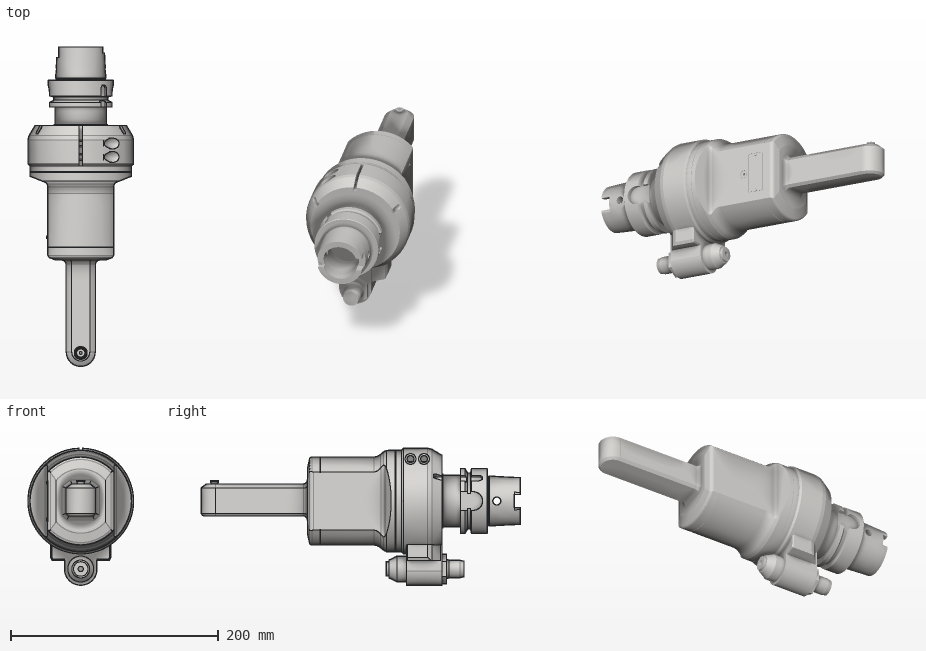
import cadquery as cq
import math


overall_length = 307.89

shank_length = 32.0
taper_radius_at_end = 22.7
taper_radius_at_gauge = 24.3
relief_radius = 23.6
relief_width = 1.0
taper_end = 1.9
shank_bore_radius = 17.0
shank_bore_bottom = -6.0
flange_radius = 31.5
flange_bottom = -26.0
flange_chamfer = 0.5
groove_radius = 27.2
groove_top = -15.2
groove_floor_top = -16.2
groove_floor_bottom = -19.0
groove_bottom = -21.6
neck_radius = 25.0
neck_end = -70.0
collar_radius = 26.0
collar_top = -42.5
end_slot_width = 12.5
end_slot_depths = {-1: 10.0, 1: 5.8}
end_flat_distance = 21.3
cross_hole_diameter = 7.5
cross_hole_y = 9.2
key_slot_width = 18.0
key_slot_start = -4.5
key_slot_floor = 26.2
index_notch_width = 7.5
index_notch_floor = 29.2
index_notch_start = -4.6
index_notch_angle = 45.0

ring_top = -43.5
ring_bottom = -82.6
ring_radius = 51.0
ring_top_radius = 44.0
ring_cone_radius = 50.0
ring_cone_end = -53.5
ring_cylinder_start = -57.5
ring_bottom_chamfer = 1.9
spigot_radius = 38.0
clamp_slot_width = 3.0
clamp_screw_z = 40.5
clamp_screw_positions = (-61.0, -74.0)
clamp_head_diameter = 10.4
clamp_head_seat_x = 22.0
clamp_thread_diameter = 6.5
clamp_thread_end_x = -16.0
pocket_width = 5.0
pocket_length = 8.5
pocket_floor_radius = 42.0
pocket_angles = (30.0, 150.0)

bracket_half_width = 29.0
bracket_foot_z = -57.2
bracket_end = -78.0
bracket_end_chamfer = 1.2
bracket_foot_chamfer_x = 1.4
bracket_foot_chamfer_z = 2.9
lobe_half_width = 15.6
lobe_radius = 15.75

pin_z = -65.5
pin_shaft_radius = 8.5
pin_nose_radius = 7.6
pin_nose_top = -22.3
pin_nose_shoulder = -26.5
pin_flare_start = -36.8
pin_flare_radius = 9.5
pin_hex_flats = 25.0
pin_hex_top = -39.3
pin_head_radius = 12.5
pin_cone_start = -87.0
pin_cone_end = -94.8
pin_cone_end_radius = 8.6
pin_tip_radius = 7.0
pin_tip_end = -97.4
pin_hole_diameter = 5.0
pin_hole_depth = 4.0

flange_cyl_radius = 49.0
flange_cyl_end = -97.0
shoulder_break_radius = 47.5
shoulder_break_y = -100.0
shoulder_end_radius = 45.0
shoulder_end_y = -103.0
barrel_radius = 42.5
barrel_start = -109.4
barrel_round_start = -168.8
face_outer_radius = 40.0
face_outer_y = -171.5
face_inner_radius = 31.0
face_y = -173.5
side_flat_x = 32.0
side_slope_start_y = -92.6
side_slope_end_y = -99.4
side_slope_fillet = 4.2
side_round_start = -167.3
side_face_outer_x = 29.2
side_face_inner_x = 23.7
seam_positions = (-88.5, -161.0)
seam_width = 0.6
seam_depth = 0.4

plate_center_y = -151.2
plate_length_y = 17.0
plate_height_z = 39.0
plate_corner_radius = 1.5
plate_groove_width = 0.8
plate_groove_depth = 0.4
rivet_diameter = 2.5
rivet_offset_z = 17.8
rivet_height = 0.8
plug_y = -138.0
plug_diameter = 8.5
plug_core_diameter = 6.0
plug_groove_depth = 0.5
plug_socket_diameter = 2.5
plug_socket_depth = 3.0

blade_half_width = 14.3
blade_tip_radius = 14.0
blade_tip_center_y = shank_length - overall_length + blade_tip_radius
blade_start = -160.0
blade_top_z = 16.6
blade_bottom_z = -14.5
blade_top_chamfer_x = 5.6
blade_top_chamfer_z = 4.2
blade_bottom_chamfer = 2.6
blade_root_fillet = 3.8
root_zone_half_width = 18.0
root_zone_half_depth = 0.1

spindle_y = -262.9
spindle_diameter = 12.5
spindle_depth = 20.0
face_groove_outer = 10.4
face_groove_inner = 8.5
face_groove_depth = 0.5
cutter_stem_diameter = 6.0
cutter_head_diameter = 8.0
cutter_cone_z = 18.6
cutter_top_z = 19.6
cutter_hole_diameter = 2.6
cutter_hole_depth = 2.0


def turned(points):
    """Solid of revolution about Y from (radius, y) points."""
    return cq.Workplane("XY").polyline(points).close().revolve(360, (0, 0, 0), (0, 1, 0))


def turned_z(points):
    """Solid of revolution about Z from (radius, z) points."""
    return cq.Workplane("XZ").polyline(points).close().revolve(360, (0, 0, 0), (0, 1, 0))


def box(x_range, y_range, z_range):
    """Box spanning the given ranges."""
    size = [high - low for low, high in (x_range, y_range, z_range)]
    return cq.Workplane("XY").box(*size, centered=False).translate((x_range[0], y_range[0], z_range[0]))


def rod_x(diameter, y, z, x_start, x_end):
    """Cylinder along X."""
    return cq.Workplane("YZ", origin=(x_start, 0, 0)).center(y, z).circle(diameter / 2).extrude(x_end - x_start)


def rod_z(diameter, y, z_start, z_end):
    """Cylinder along Z on the plane of symmetry."""
    return cq.Workplane("XY", origin=(0, y, z_start)).circle(diameter / 2).extrude(z_end - z_start)


def round_ended_slot(width, start, end, floor, outside):
    """Slot cutter on the +X side: rounded at its start, running along Y to its end."""
    radius = width / 2
    return (
        cq.Workplane("YZ", origin=(floor, 0, 0))
        .moveTo(end, -radius)
        .lineTo(start - radius, -radius)
        .threePointArc((start, 0), (start - radius, radius))
        .lineTo(end, radius)
        .close()
        .extrude(outside - floor)
    )


def about_axis(shape, angle):
    """Turn a feature made on the +X side up towards +Z about the spindle axis."""
    return shape.rotate((0, 0, 0), (0, 1, 0), -angle)


def make_shank():
    body = turned([
        (0, shank_length),
        (taper_radius_at_end, shank_length),
        (taper_radius_at_gauge, taper_end),
        (relief_radius, relief_width),
        (relief_radius, 0),
        (flange_radius - flange_chamfer, 0),
        (flange_radius, -flange_chamfer),
        (flange_radius, groove_top),
        (groove_radius, groove_floor_top),
        (groove_radius, groove_floor_bottom),
        (flange_radius, groove_bottom),
        (flange_radius, flange_bottom),
        (neck_radius, flange_bottom),
        (neck_radius, collar_top),
        (collar_radius, collar_top),
        (collar_radius, ring_top),
        (neck_radius, ring_top),
        (neck_radius, neck_end),
        (0, neck_end),
    ])
    bore = turned([
        (0, shank_length),
        (shank_bore_radius, shank_length),
        (shank_bore_radius, shank_bore_bottom),
        (0, shank_bore_bottom),
    ])
    body = body.cut(bore)
    body = body.cut(rod_x(cross_hole_diameter, cross_hole_y, 0, -flange_radius, flange_radius))

    half_slot = end_slot_width / 2
    for side, depth in end_slot_depths.items():
        y_range = (shank_length - depth, shank_length)
        slot = box((0, flange_radius), y_range, (-half_slot, half_slot))
        flat = box((end_flat_distance, flange_radius), y_range, (-flange_radius, flange_radius))
        turn = 0 if side > 0 else 180
        body = body.cut(about_axis(slot.union(flat), turn))

    key_slot = round_ended_slot(key_slot_width, key_slot_start, flange_bottom, key_slot_floor, flange_radius)
    for turn in (0, 180):
        body = body.cut(about_axis(key_slot, turn))

    notch = round_ended_slot(
        index_notch_width,
        index_notch_start,
        flange_bottom,
        index_notch_floor,
        flange_radius,
    )
    return body.cut(about_axis(notch, index_notch_angle))


def make_bracket():
    """Block and rounded lobe below the ring; the block narrows as the ring does at its side faces."""
    block = (
        cq.Workplane("XZ", origin=(0, ring_top, 0))
        .moveTo(-bracket_half_width, 0)
        .lineTo(-bracket_half_width, bracket_foot_z + bracket_foot_chamfer_z)
        .lineTo(-bracket_half_width + bracket_foot_chamfer_x, bracket_foot_z)
        .lineTo(bracket_half_width - bracket_foot_chamfer_x, bracket_foot_z)
        .lineTo(bracket_half_width, bracket_foot_z + bracket_foot_chamfer_z)
        .lineTo(bracket_half_width, 0)
        .close()
        .extrude(ring_top - bracket_end)
    )
    block = block.faces("<Y").edges().chamfer(bracket_end_chamfer)
    side_z = math.sqrt(ring_radius**2 - bracket_half_width**2)
    top_half_width = math.sqrt(ring_top_radius**2 - side_z**2)
    cone_half_width = math.sqrt(ring_cone_radius**2 - side_z**2)
    plan = (
        cq.Workplane("XY", origin=(0, 0, bracket_foot_z))
        .polyline([
            (-top_half_width, ring_top),
            (top_half_width, ring_top),
            (cone_half_width, ring_cone_end),
            (bracket_half_width, ring_cylinder_start),
            (bracket_half_width, bracket_end),
            (-bracket_half_width, bracket_end),
            (-bracket_half_width, ring_cylinder_start),
            (-cone_half_width, ring_cone_end),
        ])
        .close()
        .extrude(-bracket_foot_z)
    )
    side_end_z = pin_z - math.sqrt(lobe_radius**2 - lobe_half_width**2)
    lobe = (
        cq.Workplane("XZ", origin=(0, ring_top, 0))
        .moveTo(-lobe_half_width, -spigot_radius)
        .lineTo(-lobe_half_width, side_end_z)
        .threePointArc((0, pin_z - lobe_radius), (lobe_half_width, side_end_z))
        .lineTo(lobe_half_width, -spigot_radius)
        .close()
        .extrude(ring_top - bracket_end)
    )
    return block.intersect(plan).union(lobe)


def make_clamp_ring():
    body = turned([
        (0, ring_top),
        (ring_top_radius, ring_top),
        (ring_cone_radius, ring_cone_end),
        (ring_radius, ring_cylinder_start),
        (ring_radius, ring_bottom + ring_bottom_chamfer),
        (ring_radius - ring_bottom_chamfer, ring_bottom),
        (0, ring_bottom),
    ])
    body = body.union(make_bracket())
    bore = cq.Workplane("XZ", origin=(0, ring_top, 0)).circle(spigot_radius).extrude(ring_top - ring_bottom)
    body = body.cut(bore)

    half_slot = clamp_slot_width / 2
    body = body.cut(box((-half_slot, half_slot), (ring_bottom, ring_top), (clamp_screw_z, ring_radius)))
    for y in clamp_screw_positions:
        body = body.cut(rod_x(clamp_head_diameter, y, clamp_screw_z, clamp_head_seat_x, ring_radius))
        body = body.cut(rod_x(clamp_thread_diameter, y, clamp_screw_z, clamp_thread_end_x, ring_radius))

    pocket = round_ended_slot(
        pocket_width, pocket_length, -pocket_length, pocket_floor_radius, ring_radius
    )
    pocket = pocket.rotate((0, 0, 0), (1, 0, 0), 180).translate((0, ring_top, 0))
    for angle in pocket_angles:
        body = body.cut(about_axis(pocket, angle))

    pin_hole = (
        cq.Workplane("XZ", origin=(0, ring_top, pin_z)).circle(pin_shaft_radius).extrude(ring_top - bracket_end)
    )
    return body.cut(pin_hole)


def make_torque_pin():
    body = turned([
        (0, pin_nose_top),
        (pin_nose_radius, pin_nose_top),
        (pin_shaft_radius, pin_nose_shoulder),
        (pin_shaft_radius, pin_flare_start),
        (pin_flare_radius, pin_hex_top),
        (pin_shaft_radius, pin_hex_top),
        (pin_shaft_radius, bracket_end),
        (pin_head_radius, bracket_end),
        (pin_head_radius, pin_cone_start),
        (pin_cone_end_radius, pin_cone_end),
        (pin_tip_radius, pin_cone_end),
        (pin_tip_radius, pin_tip_end),
        (0, pin_tip_end),
    ])
    across_corners = pin_hex_flats / math.cos(math.pi / 6)
    hexagon = (
        cq.Workplane("XZ", origin=(0, pin_hex_top, 0))
        .polygon(6, across_corners)
        .extrude(pin_hex_top - ring_top)
        .rotate((0, 0, 0), (0, 1, 0), 90)
    )
    tip_hole = (
        cq.Workplane("XZ", origin=(0, pin_tip_end + pin_hole_depth, 0))
        .circle(pin_hole_diameter / 2)
        .extrude(pin_hole_depth)
    )
    return body.union(hexagon).cut(tip_hole).translate((0, 0, pin_z))


def make_blade():
    """Straight bevelled bar with a slightly narrower turned tip whose bevels have the same slopes."""
    top_half_width = blade_half_width - blade_top_chamfer_x
    bottom_half_width = blade_half_width - blade_bottom_chamfer
    side_top_z = blade_top_z - blade_top_chamfer_z
    side_bottom_z = blade_bottom_z + blade_bottom_chamfer
    bar = (
        cq.Workplane("XZ", origin=(0, blade_start, 0))
        .polyline([
            (-top_half_width, blade_top_z),
            (top_half_width, blade_top_z),
            (blade_half_width, side_top_z),
            (blade_half_width, side_bottom_z),
            (bottom_half_width, blade_bottom_z),
            (-bottom_half_width, blade_bottom_z),
            (-blade_half_width, side_bottom_z),
            (-blade_half_width, side_top_z),
        ])
        .close()
        .extrude(blade_start - blade_tip_center_y)
    )
    tip_step = blade_half_width - blade_tip_radius
    tip = turned_z([
        (0, blade_top_z),
        (top_half_width, blade_top_z),
        (blade_tip_radius, side_top_z + tip_step * blade_top_chamfer_z / blade_top_chamfer_x),
        (blade_tip_radius, side_bottom_z - tip_step),
        (bottom_half_width, blade_bottom_z),
        (0, blade_bottom_z),
    ]).translate((0, blade_tip_center_y, 0))
    return bar.union(tip)


def make_housing_barrel():
    """Round flange and barrel, with the spigot that fills the clamp ring."""
    profile = (
        cq.Workplane("XY")
        .moveTo(0, ring_top)
        .lineTo(spigot_radius, ring_top)
        .lineTo(spigot_radius, ring_bottom)
        .lineTo(flange_cyl_radius, ring_bottom)
        .lineTo(flange_cyl_radius, flange_cyl_end)
        .lineTo(shoulder_break_radius, shoulder_break_y)
        .lineTo(shoulder_end_radius, shoulder_end_y)
        .tangentArcPoint((barrel_radius, barrel_start), relative=False)
        .lineTo(barrel_radius, barrel_round_start)
        .tangentArcPoint((face_outer_radius, face_outer_y), relative=False)
        .lineTo(face_inner_radius, face_y)
        .lineTo(0, face_y)
        .close()
    )
    body = profile.revolve(360, (0, 0, 0), (0, 1, 0))
    for y in seam_positions:
        radius = flange_cyl_radius if y > flange_cyl_end else barrel_radius
        seam = (
            cq.Workplane("XZ", origin=(0, y + seam_width / 2, 0))
            .circle(radius + seam_depth)
            .circle(radius - seam_depth)
            .extrude(seam_width)
        )
        body = body.cut(seam)
    return body


def make_side_envelope():
    """Plan outline that flattens the barrel on its -X and +X sides."""
    half = (
        cq.Workplane("XY", origin=(0, 0, -ring_radius))
        .moveTo(0, ring_top)
        .lineTo(flange_cyl_radius, ring_top)
        .lineTo(flange_cyl_radius, side_slope_start_y)
        .lineTo(side_flat_x, side_slope_end_y)
        .lineTo(side_flat_x, side_round_start)
        .tangentArcPoint((side_face_outer_x, face_outer_y), relative=False)
        .lineTo(side_face_inner_x, face_y)
        .lineTo(0, face_y)
        .close()
        .extrude(2 * ring_radius)
    )
    slope_end = cq.selectors.NearestToPointSelector((side_flat_x, side_slope_end_y, 0))
    half = half.edges(slope_end).fillet(side_slope_fillet)
    return half.union(half.mirror("YZ"))


def plate_block(inset):
    """Rounded plate shape on the -X flat, drawn in from its full outline by the inset."""
    return (
        cq.Workplane("YZ", origin=(-side_flat_x, 0, 0))
        .center(plate_center_y, 0)
        .rect(plate_length_y - 2 * inset, plate_height_z - 2 * inset)
        .extrude(plate_groove_depth)
        .edges("|X")
        .fillet(plate_corner_radius - inset)
    )


def add_side_fittings(body):
    """Name plate outlined by a groove, its rivets and the screw plug on the -X flat."""
    groove = plate_block(0).cut(plate_block(plate_groove_width))
    body = body.cut(groove)
    for z in (-rivet_offset_z, rivet_offset_z):
        body = body.union(rod_x(rivet_diameter, plate_center_y, z, -side_flat_x - rivet_height, -side_flat_x))
    plug_floor_x = -side_flat_x + plug_groove_depth
    plug_groove = rod_x(plug_diameter, plug_y, 0, -side_flat_x, plug_floor_x)
    plug_groove = plug_groove.cut(rod_x(plug_core_diameter, plug_y, 0, -side_flat_x, plug_floor_x))
    socket = rod_x(plug_socket_diameter, plug_y, 0, -side_flat_x, -side_flat_x + plug_socket_depth)
    return body.cut(plug_groove).cut(socket)


def make_housing():
    body = make_housing_barrel().intersect(make_side_envelope())
    body = body.union(make_blade())
    root_edges = cq.selectors.BoxSelector(
        (-root_zone_half_width, face_y - root_zone_half_depth, -root_zone_half_width),
        (root_zone_half_width, face_y + root_zone_half_depth, root_zone_half_width),
    )
    body = body.edges(root_edges).fillet(blade_root_fillet)
    body = add_side_fittings(body)
    neck_socket = cq.Workplane("XZ", origin=(0, ring_top, 0)).circle(neck_radius).extrude(ring_top - neck_end)
    body = body.cut(neck_socket)
    return body.cut(rod_z(spindle_diameter, spindle_y, blade_top_z - spindle_depth, blade_top_z))


def make_cutter_spindle():
    """Spindle flush with the blade, carrying a small cutter head that widens upwards."""
    body = rod_z(spindle_diameter, spindle_y, blade_top_z - spindle_depth, blade_top_z)
    face_groove = (
        cq.Workplane("XY", origin=(0, spindle_y, blade_top_z - face_groove_depth))
        .circle(face_groove_outer / 2)
        .circle(face_groove_inner / 2)
        .extrude(face_groove_depth)
    )
    cutter = turned_z([
        (0, blade_top_z),
        (cutter_stem_diameter / 2, blade_top_z),
        (cutter_head_diameter / 2, cutter_cone_z),
        (cutter_head_diameter / 2, cutter_top_z),
        (0, cutter_top_z),
    ]).translate((0, spindle_y, 0))
    hole = rod_z(cutter_hole_diameter, spindle_y, cutter_top_z - cutter_hole_depth, cutter_top_z)
    return body.cut(face_groove).union(cutter).cut(hole)


shank = make_shank()
clamp_ring = make_clamp_ring()
torque_pin = make_torque_pin()
housing = make_housing()
cutter_spindle = make_cutter_spindle()

result = cq.Compound.makeCompound([
    shank.val(),
    clamp_ring.val(),
    torque_pin.val(),
    housing.val(),
    cutter_spindle.val(),
])